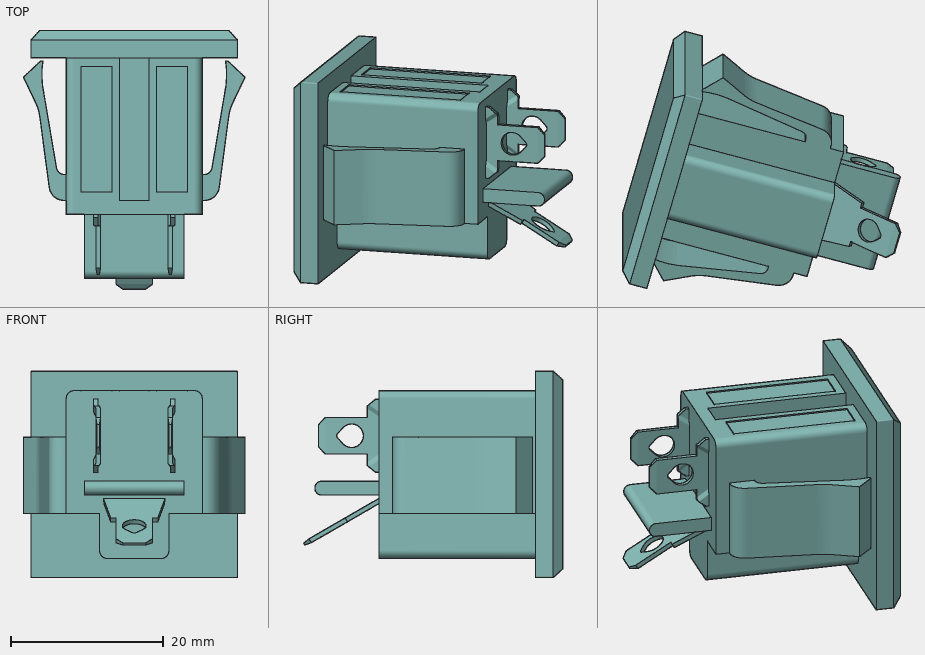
import cadquery as cq
import math


overall_depth = 33.9
plate_size = 27.0
plate_thickness = 3.6
plate_bevel_depth = 1.25
plate_bevel_width = 1.15
plate_corner_radius = 0.15

body_depth = 20.47
body_width = 17.8
body_top = 10.95
body_step = -5.12
tongue_width = 9.05
tongue_bottom = -11.0
body_corner_radius = 1.0

slot_width = 3.83
slot_length = 18.67
slot_depth = 6.78
recess_width = 4.05
recess_front = 1.12
recess_back = 17.52
recess_offset = 4.9
recess_depth = 0.17

clip_height = 10.0
clip_root_x = 9.15
clip_root_y = -18.67
clip_root_outer_radius = 2.0
clip_root_inner_radius = 1.0
clip_root_width = 3.42
clip_embed = 0.35
clip_outer_tilt = 7.6
clip_inner_tilt = 9.7
clip_mid_arc_angle = 45.0
clip_neck_end = (12.37, -7.65)
clip_neck_start = (12.85, -6.0)
clip_barb = (14.5, -2.55)
clip_tip_outer = (12.25, -0.4)
clip_tip_inner = (11.93, -0.4)
clip_bulge = (12.05, -2.2)
clip_inner_bend = (11.95, -3.73)

wall_width = 13.0
wall_thickness = 1.83
wall_center_z = -1.8
wall_length = 8.37
wall_edge_radius = 0.88
wall_embed = 0.35

terminal_thickness = 0.6
terminal_half_width = 2.4
terminal_length = 5.5
tip_length = 0.88
tip_half_width = 1.45
tip_thickness = 0.3
hole_offset = 2.05
hole_radius = 1.53
hole_nose_radius = 0.45
hole_nose_distance = 1.5
terminal_embed = 1.0

line_x = 4.7
line_z = 5.05
line_shoulder_length = 1.53
line_shoulder_half_width = 4.78
line_corner_length = 0.45
line_corner_half_width = 3.9
joggle_angle = 34.0
joggle_offset = 0.35
joggle_start = 2.1
joggle_end = 2.6
joggle_bend_radius = 0.2

ground_tilt = math.radians(30)
ground_z = -3.5
ground_root_half_width = 4.0
ground_shoulder_half_width = 3.1


def make_plate():
    outline = cq.Workplane("XZ").rect(plate_size, plate_size).extrude(-plate_thickness)
    rounded = outline.edges("|Y").fillet(plate_corner_radius)
    beveled = outline.faces(">Y").chamfer(plate_bevel_depth, plate_bevel_width)
    return rounded.intersect(beveled)


def make_body():
    upper = cq.Workplane("XZ").rect(body_width, body_top - body_step).extrude(body_depth)
    upper = upper.translate((0, 0, (body_top + body_step) / 2))
    upper = upper.edges("|Y and >Z").fillet(body_corner_radius)

    tongue_height = -tongue_bottom
    tongue = cq.Workplane("XZ").rect(tongue_width, tongue_height).extrude(body_depth)
    tongue = tongue.translate((0, 0, tongue_bottom / 2))
    tongue = tongue.edges("|Y and <Z").fillet(body_corner_radius)
    body = upper.union(tongue)

    top = cq.Workplane("XY", origin=(0, 0, body_top))
    body = body.cut(top.center(0, -slot_length / 2).rect(slot_width, slot_length).extrude(-slot_depth))
    recesses = (
        top.pushPoints([(side * recess_offset, -(recess_front + recess_back) / 2) for side in (-1, 1)])
        .rect(recess_width, recess_back - recess_front)
        .extrude(-recess_depth)
    )
    return body.cut(recesses)


def arc_point(center, radius, degrees_below):
    angle = math.radians(degrees_below)
    return (center[0] + radius * math.cos(angle), center[1] - radius * math.sin(angle))


def make_clip():
    """Right-hand clip: a rounded root, a leaning arm and a barb facing the plate."""
    outer_center = (clip_root_x, clip_root_y + clip_root_outer_radius)
    inner_end_y = clip_root_y + clip_root_width
    inner_center = (clip_root_x, inner_end_y + clip_root_inner_radius)
    inside_body_x = body_width / 2 - clip_embed
    profile = (
        cq.Workplane("XY", origin=(0, 0, body_step))
        .moveTo(inside_body_x, clip_root_y)
        .lineTo(clip_root_x, clip_root_y)
        .threePointArc(
            arc_point(outer_center, clip_root_outer_radius, clip_mid_arc_angle),
            arc_point(outer_center, clip_root_outer_radius, clip_outer_tilt),
        )
        .lineTo(*clip_neck_end)
        .tangentArcPoint(clip_neck_start, relative=False)
        .lineTo(*clip_barb)
        .lineTo(*clip_tip_outer)
        .lineTo(*clip_tip_inner)
        .threePointArc(clip_bulge, clip_inner_bend)
        .lineTo(*arc_point(inner_center, clip_root_inner_radius, clip_inner_tilt))
        .threePointArc(
            arc_point(inner_center, clip_root_inner_radius, clip_mid_arc_angle),
            (clip_root_x, inner_end_y),
        )
        .lineTo(inside_body_x, inner_end_y)
        .close()
    )
    return profile.extrude(clip_height)


def make_wall():
    """Plate with a rounded rear edge, starting just inside the body."""
    start = cq.Workplane("XZ", origin=(0, wall_embed - body_depth, wall_center_z))
    wall = start.rect(wall_width, wall_thickness).extrude(wall_embed + wall_length)
    return wall.edges("|X and <Y").fillet(wall_edge_radius)


def teardrop_hole(center_u):
    """Round hole drawn out to a smaller rounded nose toward the tip."""
    lean = math.acos((hole_radius - hole_nose_radius) / hole_nose_distance)
    nose_u = center_u + hole_nose_distance
    wide = (center_u + hole_radius * math.cos(lean), hole_radius * math.sin(lean))
    nose = (nose_u + hole_nose_radius * math.cos(lean), hole_nose_radius * math.sin(lean))
    return (
        cq.Workplane("XY")
        .moveTo(wide[0], -wide[1])
        .lineTo(nose[0], -nose[1])
        .threePointArc((nose_u + hole_nose_radius, 0), nose)
        .lineTo(*wide)
        .threePointArc((center_u - hole_radius, 0), (wide[0], -wide[1]))
        .close()
        .extrude(terminal_thickness, both=True)
    )


def joggled_sheet():
    """Sheet that steps outward along a slanted bend line on its +v side."""
    reach = overall_depth
    half = terminal_thickness / 2
    bend_plane = cq.Plane(origin=(0, 0, 0), xDir=(0, 1, 0), normal=(1, 0, 0))
    sheet = (
        cq.Workplane(bend_plane)
        .moveTo(-reach, -half)
        .lineTo(joggle_start, -half)
        .lineTo(joggle_end, joggle_offset - half)
        .lineTo(reach, joggle_offset - half)
        .lineTo(reach, joggle_offset + half)
        .lineTo(joggle_end, joggle_offset + half)
        .lineTo(joggle_start, half)
        .lineTo(-reach, half)
        .close()
        .extrude(reach, both=True)
    )
    sheet = sheet.edges("|X").fillet(joggle_bend_radius)
    return sheet.rotate((0, 0, 0), (0, 0, 1), joggle_angle)


def flat_sheet():
    return cq.Workplane("XY").box(2 * overall_depth, overall_depth, terminal_thickness)


def make_terminal(sheet, shoulder, shoulder_length):
    """Terminal with the given shoulder points on its +v side, in local u, v, w."""
    bevel_u = shoulder_length + terminal_length
    tip_u = bevel_u + tip_length
    half_outline = (
        [(-terminal_embed, 0)]
        + shoulder
        + [
            (shoulder_length, terminal_half_width),
            (bevel_u, terminal_half_width),
            (tip_u, tip_half_width),
            (tip_u, 0),
        ]
    )
    clearance = terminal_thickness + joggle_offset
    half = cq.Workplane("XY").polyline(half_outline).close().extrude(clearance, both=True)
    half = half.intersect(sheet)

    upper_edge = [
        (-terminal_embed, clearance),
        (bevel_u, clearance),
        (bevel_u, terminal_thickness / 2),
        (tip_u, tip_thickness / 2),
    ]
    lower_edge = [(u, -w) for u, w in reversed(upper_edge)]
    side_profile = cq.Workplane("XZ").polyline(upper_edge + lower_edge).close()
    half = half.intersect(side_profile.extrude(overall_depth, both=True))

    terminal = half.union(half.mirror("XZ"))
    return terminal.cut(teardrop_hole(shoulder_length + hole_offset))


def place(terminal, origin, direction, normal):
    plane = cq.Plane(origin=origin, xDir=direction, normal=normal)
    return cq.Workplane(terminal.val().moved(cq.Location(plane)))


def make_line_terminal():
    """Right-hand upright terminal, joggled toward +X."""
    shoulder = [
        (-terminal_embed, line_shoulder_half_width),
        (line_corner_length, line_shoulder_half_width),
        (line_shoulder_length, line_corner_half_width),
    ]
    terminal = make_terminal(joggled_sheet(), shoulder, line_shoulder_length)
    return place(terminal, (line_x, -body_depth, line_z), (0, -1, 0), (1, 0, 0))


def make_ground_terminal():
    tip_reach = overall_depth - plate_thickness - body_depth
    length = (tip_reach - tip_thickness / 2 * math.sin(ground_tilt)) / math.cos(ground_tilt)
    shoulder_length = length - terminal_length - tip_length
    taper = (ground_root_half_width - ground_shoulder_half_width) / shoulder_length
    shoulder = [
        (-terminal_embed, ground_root_half_width + taper * terminal_embed),
        (shoulder_length, ground_shoulder_half_width),
    ]
    terminal = make_terminal(flat_sheet(), shoulder, shoulder_length)
    direction = (0, -math.cos(ground_tilt), -math.sin(ground_tilt))
    normal = (0, -math.sin(ground_tilt), math.cos(ground_tilt))
    return place(terminal, (0, -body_depth, ground_z), direction, normal)


result = make_plate().union(make_body()).union(make_wall()).union(make_ground_terminal())
for side_part in (make_clip(), make_line_terminal()):
    result = result.union(side_part).union(side_part.mirror("YZ"))